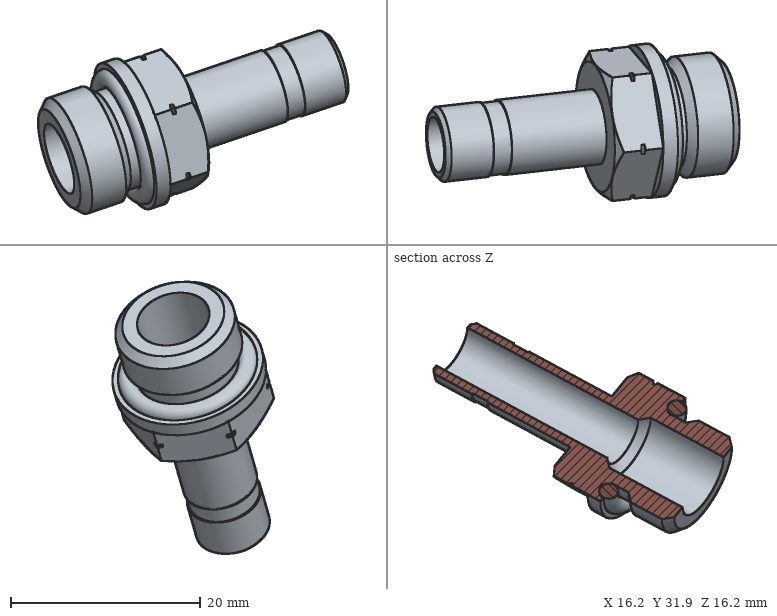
import cadquery as cq
import math


thread_diameter = 12.9
neck_diameter = 11.0
thread_chamfer = (thread_diameter - neck_diameter) / 2
thread_length = 5.83

flange_diameter = 16.25
flange_start = 7.63
flange_thickness = 1.62
hex_start = flange_start + flange_thickness
hex_across_flats = 14.0
hex_across_corners = hex_across_flats / math.cos(math.radians(30))
hex_length = 5.0
hex_end = hex_start + hex_length
hex_chamfer_diameter = 13.9
hex_chamfer_angle = 30.0

notch_position = 11.4
notch_floor_diameter = 15.6
notch_mouth_width = 0.5
notch_floor_width = 0.3

total_length = 31.88
tube_diameter = 8.0
tube_chamfer = 0.5
tube_groove_diameter = 7.75
tube_groove_width = 2.0
tube_groove_end = total_length - 5.2
tube_groove_start = tube_groove_end - tube_groove_width

wide_bore_diameter = 7.8
wide_bore_depth = hex_start
through_bore_diameter = 5.9
bore_cone_angle = 45.0

ring_section_radius = 1.0
ring_centre_radius = neck_diameter / 2 + ring_section_radius


def turn(profile):
    """Close a half profile of (radius, Y) points and revolve it about the Y axis."""
    return profile.close().revolve(360, (0, 0, 0), (0, 1, 0))


def make_front_end():
    """Thread, neck and flange, with the half-round ring seat in the flange face."""
    thread_radius = thread_diameter / 2
    neck_radius = neck_diameter / 2
    flange_radius = flange_diameter / 2
    profile = (
        cq.Workplane("XY")
        .lineTo(thread_radius - thread_chamfer, 0)
        .lineTo(thread_radius, thread_chamfer)
        .lineTo(thread_radius, thread_length - thread_chamfer)
        .lineTo(neck_radius, thread_length)
        .lineTo(neck_radius, flange_start)
        .threePointArc(
            (ring_centre_radius, flange_start + ring_section_radius),
            (ring_centre_radius + ring_section_radius, flange_start),
        )
        .lineTo(flange_radius, flange_start)
        .lineTo(flange_radius, hex_start)
        .lineTo(0, hex_start)
    )
    return turn(profile)


def make_hexagon():
    """Hexagon with corners on the X axis, a turned end chamfer and the corner notches."""
    prism = (
        cq.Workplane("XZ", origin=(0, hex_start, 0))
        .polygon(6, hex_across_corners)
        .extrude(-hex_length)
    )
    corner_radius = hex_across_corners / 2
    outer_radius = hex_across_corners
    chamfer_radius = hex_chamfer_diameter / 2
    chamfer_drop = (outer_radius - chamfer_radius) * math.tan(math.radians(hex_chamfer_angle))
    chamfer_waste = turn(
        cq.Workplane("XY")
        .moveTo(chamfer_radius, hex_end)
        .lineTo(outer_radius, hex_end)
        .lineTo(outer_radius, hex_end - chamfer_drop)
    )
    notch_waste = turn(
        cq.Workplane("XY")
        .moveTo(notch_floor_diameter / 2, notch_position - notch_floor_width / 2)
        .lineTo(corner_radius, notch_position - notch_mouth_width / 2)
        .lineTo(corner_radius, notch_position + notch_mouth_width / 2)
        .lineTo(notch_floor_diameter / 2, notch_position + notch_floor_width / 2)
    )
    return prism.cut(chamfer_waste).cut(notch_waste)


def make_tube():
    """Tube end with its shallow groove and end chamfer."""
    tube_radius = tube_diameter / 2
    groove_radius = tube_groove_diameter / 2
    profile = (
        cq.Workplane("XY")
        .moveTo(0, hex_end)
        .lineTo(tube_radius, hex_end)
        .lineTo(tube_radius, tube_groove_start)
        .lineTo(groove_radius, tube_groove_start)
        .lineTo(groove_radius, tube_groove_end)
        .lineTo(tube_radius, tube_groove_end)
        .lineTo(tube_radius, total_length - tube_chamfer)
        .lineTo(tube_radius - tube_chamfer, total_length)
        .lineTo(0, total_length)
    )
    return turn(profile)


def make_bore():
    """Stepped bore through the whole fitting."""
    wide_radius = wide_bore_diameter / 2
    through_radius = through_bore_diameter / 2
    cone_length = (wide_radius - through_radius) / math.tan(math.radians(bore_cone_angle))
    profile = (
        cq.Workplane("XY")
        .lineTo(wide_radius, 0)
        .lineTo(wide_radius, wide_bore_depth)
        .lineTo(through_radius, wide_bore_depth + cone_length)
        .lineTo(through_radius, total_length)
        .lineTo(0, total_length)
    )
    return turn(profile)


def make_fitting():
    """Hollow fitting body: thread, flange, hexagon and tube in one piece."""
    return make_front_end().union(make_hexagon()).union(make_tube()).cut(make_bore())


def make_sealing_ring():
    """Round-section ring lying in its seat in the flange face."""
    centre = cq.Vector(0, flange_start, 0)
    axis = cq.Vector(0, 1, 0)
    return cq.Workplane(cq.Solid.makeTorus(ring_centre_radius, ring_section_radius, centre, axis))


fitting = make_fitting()
sealing_ring = make_sealing_ring()

result = cq.Compound.makeCompound([fitting.val(), sealing_ring.val()])